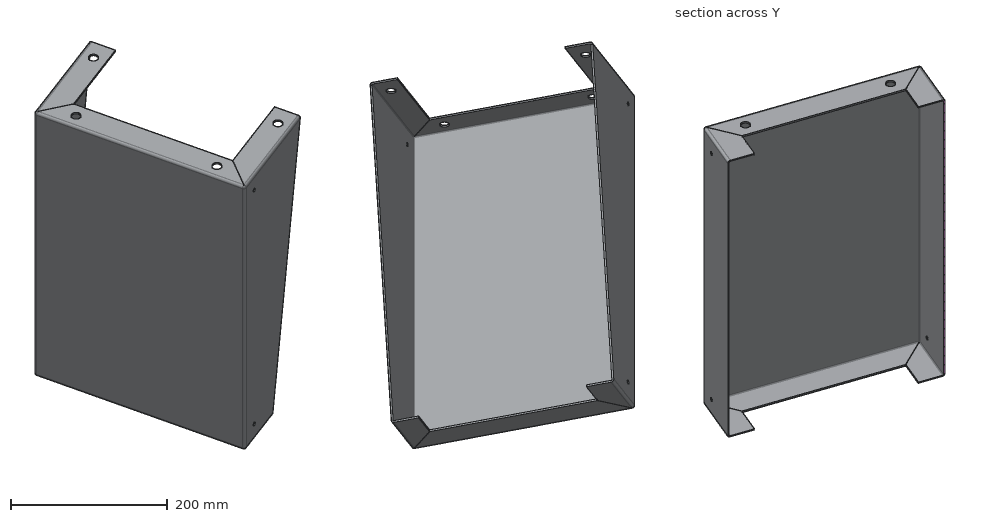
import cadquery as cq
import math

height = 457.0
width = height * 2 / 3
top_depth = width / 2
bottom_depth = top_depth / 2

sheet = 2.65
outer_bend = 3.5
inner_bend = outer_bend - sheet
flange = 37.5
mitre_gap = 0.35

flange_hole_diameter = 13.0
flange_hole_inset = 19.0
front_hole_from_side = 50.7
leg_hole_from_back = 25.5
wall_hole_diameter = 5.0
wall_hole_inset = 25.5

half_width = width / 2


def rounded_block(inset, back, bend):
    """Box inset from the outer faces, with rounded front, side, top and bottom edges."""
    block = cq.Workplane("XY").box(
        width - 2 * inset, back - inset, height - 2 * inset, centered=(True, False, False)
    )
    block = block.edges("|Z and <Y").fillet(bend)
    block = block.faces("<Z or >Z").edges("not >Y").fillet(bend)
    return block.translate((0, inset, inset))


def folded_shell():
    """Front, sides, top and bottom in sheet thickness, open at the back."""
    outside = rounded_block(0, top_depth, outer_bend)
    inside = rounded_block(sheet, top_depth + sheet, inner_bend)
    return outside.cut(inside)


def sloped_back_cutter():
    """Region behind the sloping rear edges of the side walls and behind the bottom flange."""
    beyond = top_depth + sheet
    slope_setback = (top_depth - bottom_depth) / height * outer_bend
    bottom_back = bottom_depth + slope_setback
    top_back = top_depth - slope_setback
    return (
        cq.Workplane("YZ")
        .moveTo(bottom_back, 0)
        .lineTo(bottom_back, outer_bend)
        .lineTo(top_back, height - outer_bend)
        .lineTo(beyond, height - outer_bend)
        .lineTo(beyond, 0)
        .close()
        .extrude(half_width, both=True)
    )


def flange_opening():
    """Clear space between the flange legs, through the top and the bottom."""
    return (
        cq.Workplane("XY")
        .box(width - 2 * flange, top_depth, height, centered=(True, False, False))
        .translate((0, flange, 0))
    )


def mitre_slits():
    """Narrow 45 degree slits between the front flange and the legs, at top and bottom."""
    run = flange - outer_bend
    middle = (outer_bend + flange) / 2
    slits = cq.Workplane("XY")
    for side in (-1, 1):
        for level in (0, height - sheet):
            slit = (
                cq.Workplane("XY")
                .box(run * math.sqrt(2), mitre_gap, sheet, centered=(True, True, False))
                .rotate((0, 0, 0), (0, 0, 1), -45 * side)
                .translate((side * (half_width - middle), middle, level))
            )
            slits = slits.add(slit)
    return slits.combine()


def top_flange_holes():
    """Two holes in the front flange and one near the back of each leg."""
    front_x = half_width - front_hole_from_side
    leg_x = half_width - flange_hole_inset
    leg_y = top_depth - leg_hole_from_back
    centres = []
    for side in (-1, 1):
        centres.append((side * front_x, flange_hole_inset))
        centres.append((side * leg_x, leg_y))
    return (
        cq.Workplane("XY", origin=(0, 0, height - sheet))
        .pushPoints(centres)
        .circle(flange_hole_diameter / 2)
        .extrude(sheet)
    )


def side_wall_holes():
    """Small holes through both side walls, near the front at top and bottom."""
    levels = (wall_hole_inset, height - wall_hole_inset)
    return (
        cq.Workplane("YZ")
        .pushPoints([(wall_hole_inset, level) for level in levels])
        .circle(wall_hole_diameter / 2)
        .extrude(half_width, both=True)
    )


result = (
    folded_shell()
    .cut(sloped_back_cutter())
    .cut(flange_opening())
    .cut(mitre_slits())
    .cut(top_flange_holes())
    .cut(side_wall_holes())
)